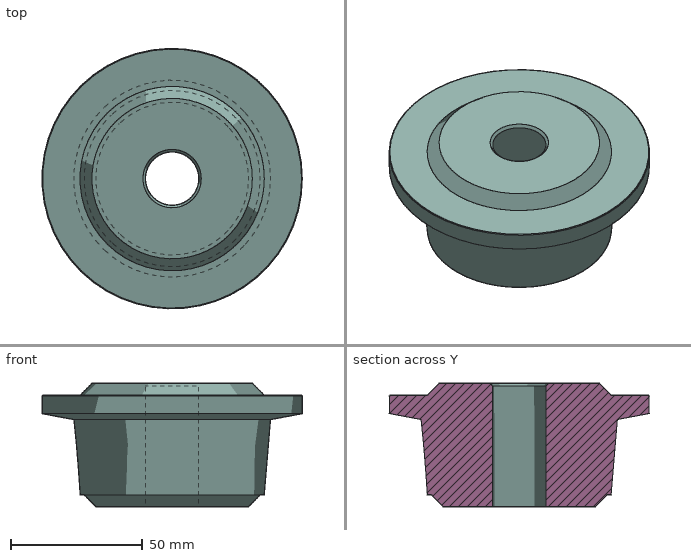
import cadquery as cq

flange_radius = 49.5
total_height = 47.0

base_height = 4.6
barrel_top = 33.2
flange_bottom = 35.4
flange_top = 42.5

base_radius = 29.0
base_top_radius = 33.5
barrel_bottom_radius = 35.0
barrel_top_radius = 37.4
boss_bottom_radius = 35.0
boss_top_radius = 30.5
flange_chamfer = 0.3

bore_radius = 10.1
bore_chamfer = 1.0

profile = (
    cq.Workplane("XZ")
    .moveTo(bore_radius, 0)
    .lineTo(base_radius, 0)
    .lineTo(base_top_radius, base_height)
    .lineTo(barrel_bottom_radius, base_height)
    .lineTo(barrel_top_radius, barrel_top)
    .lineTo(flange_radius, flange_bottom)
    .lineTo(flange_radius, flange_top - flange_chamfer)
    .lineTo(flange_radius - flange_chamfer, flange_top)
    .lineTo(boss_bottom_radius, flange_top)
    .lineTo(boss_top_radius, total_height)
    .lineTo(bore_radius + bore_chamfer, total_height)
    .lineTo(bore_radius, total_height - bore_chamfer)
    .close()
)
result = profile.revolve(360, (0, 0, 0), (0, 1, 0))